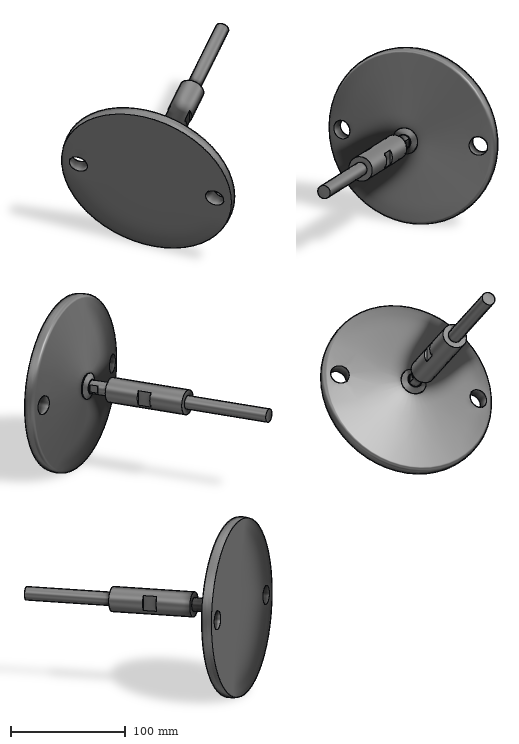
import cadquery as cq
import math

base_diameter = 158.0
underside_diameter = 156.8
rim_taper_height = 3.5
rim_land_height = 3.0
shoulder_radius = 3.4
cone_top_diameter = 22.0
cone_top_y = 20.7

hole_diameter = 16.5
hole_offset = 62.9
hole_cutter_length = 79.6

overall_length = 199.0
rod_diameter = 12.0
collar_diameter = 23.5
collar_top_diameter = 13.1
collar_edge_y = 22.0
collar_end_y = 25.0
sleeve_diameter = 22.0
sleeve_start_y = 44.2
sleeve_length = 75.0

rod_flat_width = 10.0
rod_flat_start_y = 25.9
rod_flat_length = 8.0
sleeve_flat_width = 17.7
sleeve_flat_length = 12.3

rim_radius = base_diameter / 2
land_top_y = rim_taper_height + rim_land_height
shoulder_center_x = rim_radius - shoulder_radius


def cone_tangent_angle():
    """Slope of the cone line that leaves the rounded shoulder tangentially."""
    run = shoulder_center_x - cone_top_diameter / 2
    rise = cone_top_y - land_top_y
    return math.atan2(rise, run) - math.asin(shoulder_radius / math.hypot(run, rise))


cone_angle = cone_tangent_angle()


def shoulder_point(angle):
    """Point on the shoulder arc, with the angle measured from the radial direction."""
    return (
        shoulder_center_x + shoulder_radius * math.cos(angle),
        land_top_y + shoulder_radius * math.sin(angle),
    )


def hole_cutter(side):
    """Cylinder through the plate on one side, leaning outward by the cone angle."""
    axis = cq.Vector(side * math.sin(cone_angle), math.cos(cone_angle), 0)
    middle = cq.Vector(side * hole_offset, 0, 0)
    start = middle - axis * (hole_cutter_length / 2)
    return cq.Workplane(cq.Solid.makeCylinder(hole_diameter / 2, hole_cutter_length, start, axis))


def make_base():
    arc_end_angle = math.pi / 2 - cone_angle
    plate = (
        cq.Workplane("XY")
        .lineTo(underside_diameter / 2, 0)
        .lineTo(rim_radius, rim_taper_height)
        .lineTo(rim_radius, land_top_y)
        .threePointArc(shoulder_point(arc_end_angle / 2), shoulder_point(arc_end_angle))
        .lineTo(cone_top_diameter / 2, cone_top_y)
        .lineTo(0, cone_top_y)
        .close()
        .revolve(360, (0, 0, 0), (0, 1, 0))
    )
    for side in (-1, 1):
        plate = plate.cut(hole_cutter(side))
    return plate


def cut_flats(body, diameter, width, start_y, length):
    """Cut two opposite flats, leaving the given width between them."""
    depth = (diameter - width) / 2
    for side in (-1, 1):
        cutter = cq.Workplane("XY").box(depth, length, diameter)
        center_x = side * (width + depth) / 2
        body = body.cut(cutter.translate((center_x, start_y + length / 2, 0)))
    return body


def make_spindle():
    rod_radius = rod_diameter / 2
    sleeve_radius = sleeve_diameter / 2
    sleeve_end_y = sleeve_start_y + sleeve_length
    spindle = (
        cq.Workplane("XY")
        .moveTo(0, cone_top_y)
        .lineTo(cone_top_diameter / 2, cone_top_y)
        .lineTo(collar_diameter / 2, collar_edge_y)
        .lineTo(collar_top_diameter / 2, collar_end_y)
        .lineTo(rod_radius, collar_end_y)
        .lineTo(rod_radius, sleeve_start_y)
        .lineTo(sleeve_radius, sleeve_start_y)
        .lineTo(sleeve_radius, sleeve_end_y)
        .lineTo(rod_radius, sleeve_end_y)
        .lineTo(rod_radius, overall_length)
        .lineTo(0, overall_length)
        .close()
        .revolve(360, (0, 0, 0), (0, 1, 0))
    )
    sleeve_flat_start_y = sleeve_start_y + (sleeve_length - sleeve_flat_length) / 2
    spindle = cut_flats(spindle, rod_diameter, rod_flat_width, rod_flat_start_y, rod_flat_length)
    return cut_flats(
        spindle, sleeve_diameter, sleeve_flat_width, sleeve_flat_start_y, sleeve_flat_length
    )


base = make_base()
spindle = make_spindle()

result = cq.Compound.makeCompound([base.solids().val(), spindle.solids().val()])